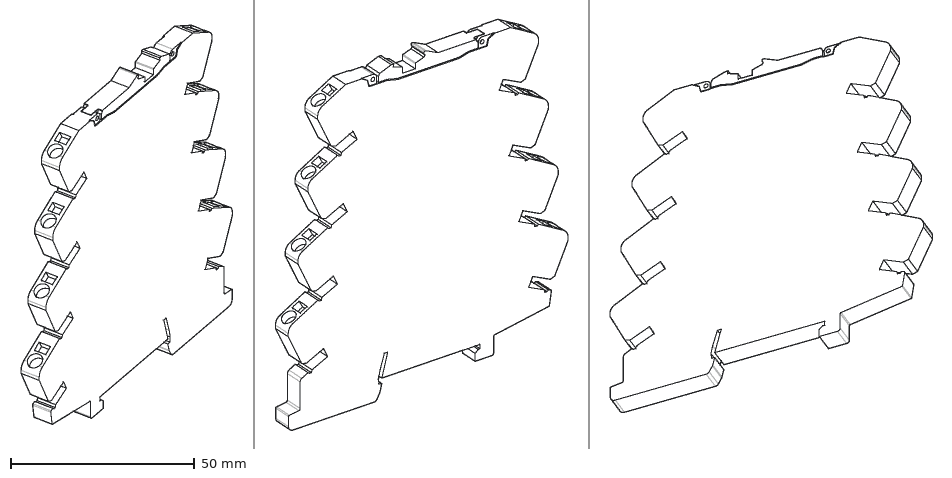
import cadquery as cq
import math

width = 6.0
height = 103.4
half_depth = 47.1

tier_count = 4
tier_drop = 21.4
tier_step = 3.3
lug_tilt = math.radians(25)
slope_angle = math.radians(28.5)
top_level = 101.5
top_half_depth = 27.8
top_lug_reach = half_depth - (tier_count - 1) * tier_step
nose_radius = 2.9
nose_bottom = 93.6
side_length = 10.6
lug_chamfer = 1.1
lug_underside = 6.5
notch_width = 3.2
shelf_length = 5.8
dent_drop = 0.8
dent_run = 0.2
dent_floor = 0.7
dent_width = 1.3

round_pocket_diameter = 4.3
round_pocket_from_nose = 2.7
square_pocket_width = 3.7
square_pocket_length = 2.7
square_pocket_from_nose = 6.8
pocket_depth = 2.5

foot_reach = 47.0
foot_wall = 43.1
foot_top = 5.5
foot_lip = 5.0
foot_toe_radius = 1.5
rail_face = 6.6

gap = 0.36
cover_corner = 16.7
gap_end_level = 98.3
gap_mid_level = 97.5
cover_ramp_start = 13.9
cover_ramp_end = 10.3
mouth_reach = 16.3
mouth_level = 101.3
cover_corner_level = 100.5

ear_inner = cover_corner + gap
ear_radius = 1.3
ear_sink = 0.3
ear_bottom_reach = 19.8
ear_knee_reach = 20.4
ear_knee_level = 100.4
ear_top_reach = 22.4
hinge_reach = 18.4
hinge_level = 100.0
hinge_hole_diameter = 1.2
tongue_width = 3.3
cheek_width = (width - tongue_width) / 2
tongue_reach = 20.0
tongue_slit = 0.06


def walk(point, angle, distance):
    """Point reached from (y, z) by moving a distance at an angle above the +Y direction."""
    return (point[0] + distance * math.cos(angle), point[1] + distance * math.sin(angle))


def slope_level(y):
    """Height of the uppermost lug slope at a distance y from the middle."""
    return top_level - (y - top_half_depth) * math.tan(slope_angle)


def lug_corners():
    """Corners (y, z, radius) of the uppermost +Y lug, from its nose to the dent below its notch."""
    nose = (top_lug_reach, slope_level(top_lug_reach))
    side_top = (top_lug_reach, nose_bottom)
    down_side = -math.pi / 2 - lug_tilt
    into_notch = math.pi - lug_tilt
    side_bottom = walk(side_top, down_side, side_length)
    tip = walk(side_bottom, down_side, lug_chamfer)
    heel = walk(tip, into_notch, lug_chamfer)
    notch_top = walk(heel, into_notch, lug_underside)
    notch_bottom = walk(notch_top, down_side, notch_width)
    shelf_end = walk(notch_bottom, -lug_tilt, shelf_length)
    dent = (shelf_end[0] + dent_run, shelf_end[1] - dent_drop)
    dent_far = (dent[0] + dent_floor, dent[1])
    dent_end_y = shelf_end[0] + dent_width
    dent_end = (dent_end_y, slope_level(dent_end_y - tier_step) - tier_drop)
    sharp = [side_top, side_bottom, heel, notch_top, notch_bottom]
    sharp += [shelf_end, dent, dent_far, dent_end]
    return [(*nose, nose_radius)] + [(y, z, 0) for y, z in sharp]


def tier_corners():
    """All lugs of the +Y end, from top to bottom."""
    corners = [(top_half_depth, top_level, 0)]
    for tier in range(tier_count):
        corners += [(y + tier * tier_step, z - tier * tier_drop, r) for y, z, r in lug_corners()]
    return corners


def rounded_outline(corners):
    """Closed wire in the YZ plane through (y, z, radius) corners, rounded where radius > 0."""
    outline = None
    for i, (y, z, radius) in enumerate(corners):
        corner = cq.Vector(y, z)
        before = (cq.Vector(*corners[i - 1][:2]) - corner).normalized()
        after = (cq.Vector(*corners[(i + 1) % len(corners)][:2]) - corner).normalized()
        half_angle = before.getAngle(after) / 2
        run = radius / math.tan(half_angle)
        start = corner + before * run
        if outline is None:
            outline = cq.Workplane("YZ").moveTo(start.x, start.y)
        else:
            outline = outline.lineTo(start.x, start.y)
        if radius > 0:
            bisector = (before + after).normalized()
            middle = corner + bisector * (radius / math.sin(half_angle) - radius)
            end = corner + after * run
            outline = outline.threePointArc((middle.x, middle.y), (end.x, end.y))
    return outline.close()


def plate(corners):
    """Plate of the given outline, centred on the YZ plane."""
    return rounded_outline(corners).extrude(width / 2, both=True)


def housing():
    """Full-width plate: lugs on both ends, rail foot below and latch profile on top."""
    plus_end = tier_corners()
    minus_end = [(-y, z, r) for y, z, r in reversed(plus_end)]
    foot_shoulder = slope_level(foot_wall - tier_count * tier_step) - tier_count * tier_drop
    foot = [
        (foot_wall, foot_shoulder, 1.0),
        (foot_wall, foot_top, 0.5),
        (foot_reach, foot_lip, 0.3),
        (foot_reach, 0, foot_toe_radius),
        (17.6, 0, 1.0),
        (16.2, 2.4, 1.0),
        (15.6, 5.0, 0),
        (16.5, 5.1, 0),
        (16.7, 6.6, 0),
        (16.2, 9.2, 0),
        (14.8, 14.1, 0),
        (13.6, 14.1, 0),
        (15.6, rail_face, 0),
    ]
    rail_hook = [
        (-17.5, rail_face, 0),
        (-17.5, 5.3, 0),
        (-16.8, 5.3, 0),
        (-15.8, 4.3, 0),
        (-15.8, 1.9, 0),
        (-22.1, 1.9, 0.8),
        (-22.1, 8.0, 0.3),
        (-40.8, 11.1, 0.2),
        (-41.5, 15.8, 0.3),
    ]
    cover_top = [
        (-3.3, top_level, 0),
        (0.7, height, 0.4),
        (1.4, height, 0.3),
        (1.3, 102.5, 0),
        (1.0, 102.1, 0),
        (1.4, 101.6, 0),
        (4.3, 100.7, 0.2),
        (4.3, 98.9, 0),
        (8.6, 98.9, 0),
        (8.6, 100.8, 0.2),
        (11.8, 101.8, 0),
        (11.6, 102.7, 0),
        (12.4, 102.7, 0),
        (mouth_reach, mouth_level, 0),
        (cover_corner, cover_corner_level, 0),
        (ear_inner, cover_corner_level, 0),
        (ear_inner, top_level, ear_radius),
    ]
    return plate(plus_end + foot + rail_hook + minus_end + cover_top)


def slope_plane(distance_from_nose):
    """Plane lying on the uppermost +Y slope, a distance uphill from the sharp nose."""
    nose = (top_lug_reach, slope_level(top_lug_reach))
    y, z = walk(nose, math.pi - slope_angle, distance_from_nose)
    normal = (0, math.sin(slope_angle), math.cos(slope_angle))
    return cq.Plane(origin=(0, y, z), xDir=(1, 0, 0), normal=normal)


def terminal_pockets():
    """Round and square blind pockets in the slopes of all lugs on both ends."""
    round_pocket = (
        cq.Workplane(slope_plane(round_pocket_from_nose))
        .circle(round_pocket_diameter / 2)
        .extrude(pocket_depth, both=True)
    )
    square_pocket = cq.Workplane(slope_plane(square_pocket_from_nose)).box(
        square_pocket_width, square_pocket_length, 2 * pocket_depth
    )
    pockets = cq.Workplane()
    for tier in range(tier_count):
        for pocket in (round_pocket, square_pocket):
            placed = pocket.translate((0, tier * tier_step, -tier * tier_drop))
            pockets = pockets.add(placed).add(placed.mirror("XZ"))
    return pockets


def sharp_plate(points):
    """Plate of a straight-sided outline of (y, z) points, centred on the YZ plane."""
    return plate([(y, z, 0) for y, z in points])


def side_layers(cutter, depth):
    """The part of a full-width cutter that lies within a depth of either side face."""
    core = cq.Workplane().box(width - 2 * depth, 4 * half_depth, 4 * height)
    return cutter.cut(core)


def cover_gap():
    """Thin gap below the cover, through the full width."""
    lower = [
        (ear_inner, gap_end_level),
        (cover_ramp_start, gap_end_level),
        (cover_ramp_end, gap_mid_level),
        (-cover_ramp_end, gap_mid_level),
        (-cover_ramp_start, gap_end_level),
        (-ear_inner, gap_end_level),
    ]
    upper = [(y, z + gap) for y, z in reversed(lower)]
    return sharp_plate(lower + upper)


def plus_end_gap():
    """Upright gap between the cover and the +Y ear."""
    return sharp_plate(
        [
            (cover_corner, gap_end_level),
            (ear_inner, gap_end_level),
            (ear_inner, height),
            (cover_corner, height),
        ]
    )


def minus_end_gap():
    """Upright gap beside the tongue at the -Y ear, with its widened mouth and the rounded ear."""
    cutter = plate(
        [
            (-cover_corner, gap_end_level, 0),
            (-cover_corner, cover_corner_level, 0),
            (-mouth_reach, mouth_level, 0),
            (-mouth_reach, height, 0),
            (-hinge_reach, height, 0),
            (-hinge_reach, top_level, 0),
            (-ear_inner, top_level, ear_radius),
            (-ear_inner, gap_end_level, 0),
        ]
    )
    return side_layers(cutter, cheek_width)


def ear_recesses():
    """Shallow recesses in both side faces that form the hinge ears."""
    ear = sharp_plate(
        [
            (ear_inner, gap_end_level),
            (ear_bottom_reach, gap_end_level),
            (ear_knee_reach, ear_knee_level),
            (ear_top_reach, top_level),
            (ear_inner, top_level),
        ]
    )
    return side_layers(ear.union(ear.mirror("XZ")), ear_sink)


def hinge_hole(y):
    """Full-width hinge hole at y."""
    return (
        cq.Workplane("YZ")
        .center(y, hinge_level)
        .circle(hinge_hole_diameter / 2)
        .extrude(width / 2, both=True)
    )


def tongue_slits():
    """Fine slit around the cover tongue that lies over the -Y ear."""
    length = tongue_reach - cover_corner
    outer = cq.Workplane().box(tongue_width, length, 2 * tongue_slit)
    inner = outer.translate((0, tongue_slit, 0)).intersect(
        cq.Workplane().box(tongue_width - 2 * tongue_slit, 2 * length, 2 * tongue_slit)
    )
    return outer.cut(inner).translate((0, -cover_corner - length / 2, top_level))


result = (
    housing()
    .cut(terminal_pockets())
    .cut(cover_gap())
    .cut(plus_end_gap())
    .cut(minus_end_gap())
    .cut(ear_recesses())
    .cut(hinge_hole(hinge_reach))
    .cut(side_layers(hinge_hole(-hinge_reach), cheek_width))
    .cut(tongue_slits())
)